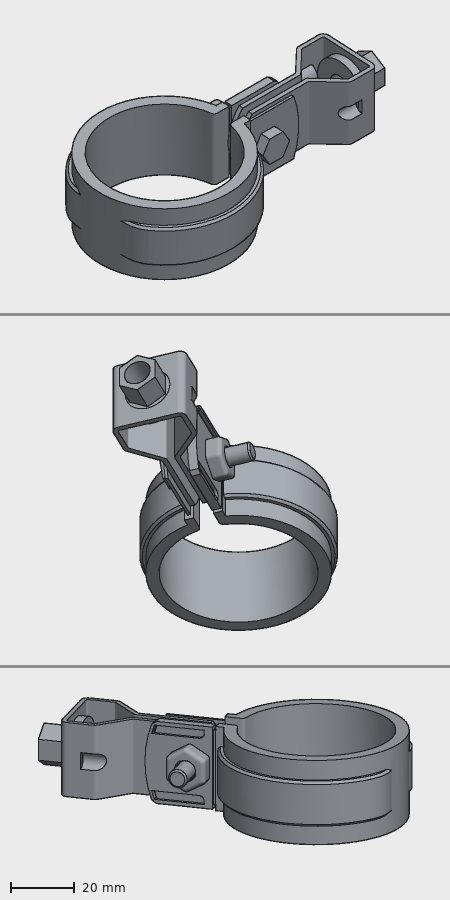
import cadquery as cq
import math


TOTAL_LENGTH = 118.6
TOTAL_WIDTH = 62.0

LINER_INNER_RADIUS = 24.9
LINER_OUTER_RADIUS = 58.2 / 2
LINER_HEIGHT = 28.0
EAR_INNER_X = 3.3
EAR_OUTER_X = 6.4
EAR_TOP_Y = 31.1
EAR_INNER_FILLET = 1.5

PAD_RADIUS = TOTAL_WIDTH / 2
PAD_HEIGHT = 15.0
PAD_CHAMFER = 0.8
PAD_END_RADIUS = 14.5
PAD_END_Y = -27.6

STRAP_THICKNESS = 1.0
STRAP_HEIGHT = 24.7
STRAP_RADIUS = (LINER_INNER_RADIUS + LINER_OUTER_RADIUS) / 2
STRAP_X = (EAR_INNER_X + EAR_OUTER_X) / 2
STRAP_OUTER_X = STRAP_X + STRAP_THICKNESS / 2
STRAP_INNER_X = STRAP_X - STRAP_THICKNESS / 2

RETAINER_BOTTOM_Y = 32.1
RETAINER_TOP_Y = 54.3
RETAINER_HEIGHT = 27.3
RETAINER_END_RADIUS = 37.4
STRAP_END_MARGIN = 1.4
RETAINER_CHAMFER = 1.2
SLOT_MARGIN = 1.0
SLOT_BOTTOM_Y = 34.9
SLOT_INNER_Z = 9.5
SLOT_FILLET = 1.8
CAP_TOP_X = -11.6
CAP_FILLET = 1.4

BOLT_Y = 39.5
BOLT_DIAMETER = 6.0
BOLT_TIP_DIAMETER = 4.9
BOLT_LENGTH = 25.0
BOLT_CLEARANCE = 7.0
BOLT_HEAD_THICKNESS = 3.9
WRENCH_SIZE = 10.0
CAP_SIZE = 12.9
CAP_WALL = (CAP_SIZE - WRENCH_SIZE) / 2

SHEET = 1.7
BEND_RADIUS = 0.6
NECK_RADIUS = 1.0
BRACKET_HEIGHT = 24.7
BRACKET_HALF_WIDTH = 24.5 / 2
BRACKET_TOP_Y = 80.4
SHOULDER_Y = 68.7
ARM_OUTER_X = 3.0
ARM_TIP_Y = 30.2
ARM_CORNER_Y = 35.0
BEAD_GROOVE_RADIUS = 2.7
BEAD_TOP_Y = 73.6

BOSS_WRENCH_SIZE = 12.0
BOSS_NECK_DIAMETER = 15.0
BOSS_FLANGE_DIAMETER = 20.0
BOSS_FLANGE_THICKNESS = 3.1
BOSS_BORE_DIAMETER = 8.5

BOTTOM_Y = -LINER_OUTER_RADIUS
BOSS_TOP_Y = BOTTOM_Y + TOTAL_LENGTH
BRACKET_INNER_Y = BRACKET_TOP_Y - SHEET


def slab(x_min, x_max, y_min, y_max, height):
    """Box centred on Z = 0."""
    box = cq.Workplane("XY").box(x_max - x_min, y_max - y_min, height)
    return box.translate(((x_min + x_max) / 2, (y_min + y_max) / 2, 0))


def both_sides(shape):
    """The shape together with its mirror image across X = 0."""
    return shape.union(shape.mirror("YZ"))


def disc(radius, height):
    """Cylinder around the pipe axis, centred on Z = 0."""
    return cq.Workplane("XY").circle(radius).extrude(height / 2, both=True)


def rod_x(diameter, x_min, x_max):
    """Cylinder on the bolt axis."""
    plane = cq.Plane(origin=(x_min, BOLT_Y, 0), xDir=(0, 1, 0), normal=(1, 0, 0))
    return cq.Workplane(plane).circle(diameter / 2).extrude(x_max - x_min)


def rod_y(diameter, y_min, y_max):
    """Cylinder on the Y axis."""
    return cq.Workplane("XZ", origin=(0, y_min, 0)).circle(diameter / 2).extrude(y_min - y_max)


def hexagon_x(across_flats, x_min, x_max, turn=0):
    """Hexagonal prism on the bolt axis with flats facing +Y and -Y, turned by an angle in degrees."""
    plane = cq.Plane(origin=(x_min, BOLT_Y, 0), xDir=(0, 1, 0), normal=(1, 0, 0))
    prism = cq.Workplane(plane).polygon(6, across_flats, circumscribed=True).extrude(x_max - x_min)
    return prism.rotate((0, BOLT_Y, 0), (1, BOLT_Y, 0), turn)


def round_ended_plate(x_min, x_max, y_min, y_tip, height, end_radius):
    """Flat plate across X whose +Y end is an arc that peaks at y_tip on Z = 0."""
    half = height / 2
    y_corner = y_tip - end_radius + math.sqrt(end_radius**2 - half**2)
    plane = cq.Plane(origin=(x_min, 0, 0), xDir=(0, 1, 0), normal=(1, 0, 0))
    outline = (
        cq.Workplane(plane)
        .moveTo(y_min, -half)
        .lineTo(y_corner, -half)
        .threePointArc((y_tip, 0), (y_corner, half))
        .lineTo(y_min, half)
        .close()
    )
    return outline.extrude(x_max - x_min)


def bolt_hole():
    """Clearance for the bolt through everything that it clamps."""
    return rod_x(BOLT_CLEARANCE, -2 * EAR_OUTER_X, 2 * EAR_OUTER_X)


def make_strap():
    inner_radius = STRAP_RADIUS - STRAP_THICKNESS / 2
    ring = disc(STRAP_RADIUS + STRAP_THICKNESS / 2, STRAP_HEIGHT).cut(disc(inner_radius, STRAP_HEIGHT))
    ring = ring.cut(slab(-STRAP_INNER_X, STRAP_INNER_X, 0, EAR_TOP_Y, STRAP_HEIGHT))
    root_y = math.sqrt(inner_radius**2 - STRAP_INNER_X**2)
    tongue = round_ended_plate(
        STRAP_INNER_X, STRAP_OUTER_X, root_y, RETAINER_TOP_Y - STRAP_END_MARGIN,
        STRAP_HEIGHT, RETAINER_END_RADIUS - STRAP_END_MARGIN,
    )
    return ring.union(both_sides(tongue)).cut(bolt_hole())


def make_pad():
    """Raised pad on the +X flank. Its lower end curves into a flat facing -Y."""
    end_centre_y = PAD_END_Y + PAD_END_RADIUS
    end_centre_x = math.sqrt((PAD_RADIUS - PAD_END_RADIUS) ** 2 - end_centre_y**2)
    tangent_angle = math.atan2(end_centre_y, end_centre_x)
    middle_angle = (tangent_angle - math.pi / 2) / 2
    tangent = (PAD_RADIUS * math.cos(tangent_angle), PAD_RADIUS * math.sin(tangent_angle))
    end_middle = (
        end_centre_x + PAD_END_RADIUS * math.cos(middle_angle),
        end_centre_y + PAD_END_RADIUS * math.sin(middle_angle),
    )
    top_y = math.sqrt(PAD_RADIUS**2 - EAR_OUTER_X**2)
    pad = (
        cq.Workplane("XY")
        .moveTo(EAR_OUTER_X, top_y)
        .threePointArc((PAD_RADIUS, 0), tangent)
        .threePointArc(end_middle, (end_centre_x, PAD_END_Y))
        .lineTo(EAR_OUTER_X, PAD_END_Y)
        .close()
        .extrude(PAD_HEIGHT / 2, both=True)
    )
    return pad.faces("|Z").edges("%CIRCLE").chamfer(PAD_CHAMFER)


def make_liner(strap):
    body = disc(LINER_OUTER_RADIUS, LINER_HEIGHT).union(both_sides(make_pad()))
    body = body.union(slab(-EAR_OUTER_X, EAR_OUTER_X, LINER_INNER_RADIUS, EAR_TOP_Y, LINER_HEIGHT))
    body = body.cut(disc(LINER_INNER_RADIUS, LINER_HEIGHT))
    body = body.cut(slab(-EAR_INNER_X, EAR_INNER_X, 0, EAR_TOP_Y, LINER_HEIGHT))
    lips = cq.selectors.BoxSelector(
        (-EAR_OUTER_X, 0, -LINER_HEIGHT), (EAR_OUTER_X, LINER_INNER_RADIUS, LINER_HEIGHT)
    )
    return body.edges("|Z").edges(lips).fillet(EAR_INNER_FILLET).cut(strap)


def make_retainer_slot():
    """Slot in the -X face along the +Z edge of the strap, ending in step with the rounded retainer end."""
    reach = round_ended_plate(
        -EAR_OUTER_X, -STRAP_INNER_X, SLOT_BOTTOM_Y, RETAINER_TOP_Y - SLOT_MARGIN,
        STRAP_HEIGHT, RETAINER_END_RADIUS - SLOT_MARGIN,
    )
    block = slab(-EAR_OUTER_X, -STRAP_INNER_X, SLOT_BOTTOM_Y, RETAINER_TOP_Y, STRAP_HEIGHT)
    strip = block.translate((0, 0, SLOT_INNER_Z + STRAP_HEIGHT / 2))
    strip = strip.edges("|X").edges("<Y").edges("<Z").fillet(SLOT_FILLET)
    return reach.intersect(strip)


def make_retainer(strap, nut):
    plate = round_ended_plate(
        -EAR_OUTER_X, -EAR_INNER_X, RETAINER_BOTTOM_Y, RETAINER_TOP_Y, RETAINER_HEIGHT, RETAINER_END_RADIUS
    )
    for end in (">Z", "<Z"):
        plate = plate.edges("|X").edges(end).edges(">Y").chamfer(RETAINER_CHAMFER)
    slot = make_retainer_slot()
    cap = hexagon_x(CAP_SIZE, CAP_TOP_X, -EAR_INNER_X)
    cap = cap.edges("|X").fillet(CAP_FILLET).faces("<X").edges().fillet(CAP_FILLET)
    body = plate.cut(slot).cut(slot.mirror("XY")).union(cap)
    return body.cut(bolt_hole()).cut(strap).cut(nut)


def make_bolt():
    seat = STRAP_OUTER_X
    tip_chamfer = (BOLT_DIAMETER - BOLT_TIP_DIAMETER) / 2
    shank = rod_x(BOLT_DIAMETER, seat - BOLT_LENGTH, seat).faces("<X").chamfer(tip_chamfer)
    return shank.union(hexagon_x(WRENCH_SIZE, seat, seat + BOLT_HEAD_THICKNESS, 90))


def make_nut():
    """Nut that fills the cap down to the strap."""
    body = hexagon_x(WRENCH_SIZE, CAP_TOP_X + CAP_WALL, -STRAP_OUTER_X)
    return body.cut(rod_x(BOLT_DIAMETER, CAP_TOP_X, 0))


def bracket_region(inset, bend_radius):
    """Block bounded by the bracket's outer faces moved inwards by inset, with its bends rounded."""
    diagonal_shift = inset * math.tan(math.radians(22.5))
    side = BRACKET_HALF_WIDTH - inset
    arm = ARM_OUTER_X - inset
    top = BRACKET_TOP_Y - inset
    shoulder = SHOULDER_Y + diagonal_shift
    neck = shoulder - (side - arm)
    outline = [
        (side, top), (side, shoulder), (arm, neck), (arm, ARM_TIP_Y),
        (-arm, ARM_TIP_Y), (-arm, neck), (-side, shoulder), (-side, top),
    ]
    region = cq.Workplane("XY").polyline(outline).close().extrude(BRACKET_HEIGHT / 2, both=True)
    for y, radius in ((top, bend_radius), (shoulder, bend_radius), (neck, NECK_RADIUS)):
        band = cq.selectors.BoxSelector(
            (-2 * side, y - SHEET, -BRACKET_HEIGHT), (2 * side, y + SHEET, BRACKET_HEIGHT)
        )
        region = region.edges("|Z").edges(band).fillet(radius)
    return region


def make_bracket():
    outer = bracket_region(0, BEND_RADIUS + SHEET)
    inner = bracket_region(SHEET, BEND_RADIUS)
    body = outer.cut(inner)

    plane = cq.Plane(origin=(BRACKET_HALF_WIDTH, BEAD_TOP_Y, 0), xDir=(1, 0, 0), normal=(0, -1, 0))
    length = BEAD_TOP_Y - ARM_TIP_Y
    bead = cq.Workplane(plane).circle(BEAD_GROOVE_RADIUS + SHEET).extrude(length).intersect(inner)
    groove = cq.Workplane(plane).circle(BEAD_GROOVE_RADIUS).extrude(length)
    body = body.union(both_sides(bead)).cut(both_sides(groove))

    rise = ARM_CORNER_Y - ARM_TIP_Y
    end_radius = (rise**2 + (BRACKET_HEIGHT / 2) ** 2) / (2 * rise)
    rounded_blank = round_ended_plate(
        -BRACKET_HALF_WIDTH, BRACKET_HALF_WIDTH, -BRACKET_TOP_Y, -ARM_TIP_Y, BRACKET_HEIGHT, end_radius
    ).mirror("XZ")
    body = body.intersect(rounded_blank)

    boss_hole = rod_y(BOSS_NECK_DIAMETER, BRACKET_INNER_Y, BRACKET_TOP_Y)
    return body.cut(boss_hole).cut(bolt_hole())


def make_boss():
    flange_bottom = BRACKET_INNER_Y - BOSS_FLANGE_THICKNESS
    flange = rod_y(BOSS_FLANGE_DIAMETER, flange_bottom, BRACKET_INNER_Y)
    neck = rod_y(BOSS_NECK_DIAMETER, BRACKET_INNER_Y, BRACKET_TOP_Y)
    head = (
        cq.Workplane("XZ", origin=(0, BRACKET_TOP_Y, 0))
        .polygon(6, BOSS_WRENCH_SIZE, circumscribed=True)
        .extrude(BRACKET_TOP_Y - BOSS_TOP_Y)
    )
    bore = rod_y(BOSS_BORE_DIAMETER, flange_bottom, BOSS_TOP_Y)
    return flange.union(neck).union(head).cut(bore)


strap = make_strap()
nut = make_nut()
liner = make_liner(strap)
retainer = make_retainer(strap, nut)
bolt = make_bolt()
bracket = make_bracket()
boss = make_boss()

bodies = (liner, strap, retainer, bracket, boss, bolt, nut)
result = cq.Compound.makeCompound([body.solids().val() for body in bodies])